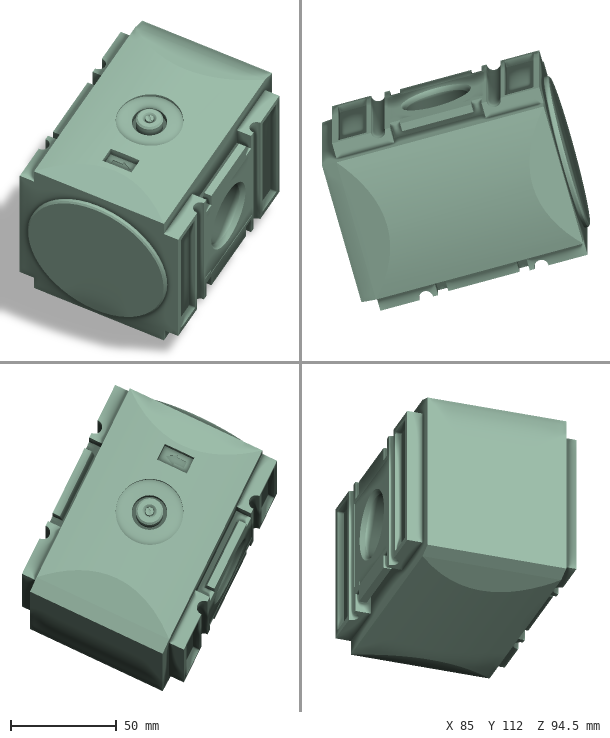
import cadquery as cq

body_length = 101.8
half_length = body_length / 2
core_width = 69.7
side_height = 84.7
half_side = side_height / 2
crown_half_height = 46.6
end_slope_run = 15.1
tail_length = 7.2
tail_drop = 2.5

overall_width = 85.0
pad_height = 69.9
pad_depth = (overall_width - core_width) / 2
relief_half_width = 22.5
relief_half_height = 25.8
tab_width = 35.0
tab_half_height = 32.5
tab_tip_thickness = 3.8
tab_root_thickness = 5.3

groove_radius = 3.4
groove_spacing = 56.8
groove_inset = 0.2
label_width = 14.1
label_height = 64.1
label_depth = 3.2
label_spacing = 81.9
label_corner = 0.8

port_diameter = 30.2
port_mouth_diameter = 34.5
port_chamfer = (port_mouth_diameter - port_diameter) / 2
port_depth = 17.4
seat_size = 47.3
seat_depth = 0.2
seat_key_width = 5.9
seat_key_height = 2.1

cap_diameter = 74.0
cap_thickness = 2.4
cap_chamfer = 0.8
neck_diameter = 60.0
overall_length = 112.0
neck_length = overall_length - body_length - tail_length - cap_thickness

recess_diameter = 32.0
recess_floor = 45.0
moat_diameter = 16.8
moat_depth = 3.4
stem_diameter = 13.0
stem_top = 47.9
stem_chamfer = 0.9
socket_mouth_diameter = 6.7
socket_diameter = 4.5
socket_depth = 3.4
socket_chamfer = (socket_mouth_diameter - socket_diameter) / 2
screw_diameter = 4.0
screw_height = 3.1
screw_slot_width = 0.9
screw_slot_depth = 0.6
screw_slot_angle = -45

window_length = 15.6
window_width = 8.4
window_y = -28.7
window_floor = 42.5
arrow_length = 10.1
arrow_head_length = 4.9
arrow_head_width = 5.6
arrow_shaft_width = 3.1
arrow_depth = 0.5


def cylinder(diameter, bottom, height):
    """Upright cylinder on the Z axis, starting at the height `bottom`."""
    return cq.Workplane("XY").workplane(offset=bottom).circle(diameter / 2).extrude(height)


def both_sides(feature):
    """The feature of the -X side together with its mirror image on the +X side."""
    return feature.union(feature.mirror("YZ"))


def make_core():
    half_width = core_width / 2
    arched = (
        cq.Workplane("XZ")
        .moveTo(-half_width, -half_side)
        .lineTo(-half_width, half_side)
        .threePointArc((0, crown_half_height), (half_width, half_side))
        .lineTo(half_width, -half_side)
        .threePointArc((0, -crown_half_height), (-half_width, -half_side))
        .close()
        .extrude(half_length + tail_length, both=True)
    )
    crown_end = half_length - end_slope_run
    tail_end = half_length + tail_length
    tail_half_height = half_side - tail_drop
    upper = [
        (-half_length, half_side),
        (-crown_end, crown_half_height),
        (crown_end, crown_half_height),
        (half_length, half_side),
        (tail_end, tail_half_height),
    ]
    lower = [(y, -z) for y, z in reversed(upper)]
    envelope = cq.Workplane("YZ").polyline(upper + lower).close().extrude(half_width, both=True)
    return arched.intersect(envelope)


def make_pads():
    """Full-width slab, relieved beside the tabs and behind their sloped backs."""
    slab = cq.Workplane("XY").box(overall_width, body_length, pad_height)
    relief_height = pad_height / 2 - relief_half_height
    outer_x = overall_width / 2
    tip_x = -outer_x + tab_tip_thickness
    root_x = -outer_x + tab_root_thickness
    relief = (
        cq.Workplane("XY")
        .box(pad_depth, 2 * relief_half_width, relief_height, centered=(False, True, False))
        .translate((-outer_x, 0, relief_half_height))
    )
    tab = (
        cq.Workplane("XZ")
        .polyline([
            (-outer_x, relief_half_height),
            (-outer_x, tab_half_height),
            (tip_x, tab_half_height),
            (root_x, relief_half_height),
        ])
        .close()
        .extrude(tab_width / 2, both=True)
    )
    relief = relief.cut(tab)
    relief = relief.union(relief.mirror("XY"))
    return slab.cut(both_sides(relief))


def make_grooves():
    groove_x = overall_width / 2 - groove_inset
    return (
        cq.Workplane("XY")
        .rect(2 * groove_x, groove_spacing, forConstruction=True)
        .vertices()
        .circle(groove_radius)
        .extrude(pad_height / 2, both=True)
    )


def make_label_pockets():
    pocket = cq.Workplane("XY").box(label_depth, label_width, label_height).edges("|X").fillet(label_corner)
    pocket_x = (overall_width - label_depth) / 2
    pair = pocket.translate((-pocket_x, label_spacing / 2, 0)).union(
        pocket.translate((-pocket_x, -label_spacing / 2, 0))
    )
    return both_sides(pair)


def make_port():
    """Blind port with a chamfered mouth and its keyed seat, on the -X side."""
    face_x = -overall_width / 2
    seat = cq.Workplane("XY").box(seat_depth, seat_size, seat_size)
    key_y = (seat_key_width - seat_size) / 2
    key_z = (seat_key_height - seat_size) / 2
    key = cq.Workplane("XY").box(seat_depth, seat_key_width, seat_key_height).translate((0, key_y, key_z))
    seat = seat.cut(key).translate((face_x + seat_depth / 2, 0, 0))
    seat_plane = cq.Workplane("YZ").workplane(offset=face_x + seat_depth)
    bore = seat_plane.circle(port_diameter / 2).extrude(port_depth)
    mouth = (
        seat_plane.circle(port_mouth_diameter / 2)
        .workplane(offset=port_chamfer)
        .circle(port_diameter / 2)
        .loft()
    )
    return seat.union(bore).union(mouth)


def make_cap():
    neck = cq.Workplane("XZ", origin=(0, -half_length, 0)).circle(neck_diameter / 2).extrude(neck_length)
    plate = (
        cq.Workplane("XZ", origin=(0, -half_length - neck_length, 0))
        .circle(cap_diameter / 2)
        .extrude(cap_thickness)
        .faces("<Y")
        .chamfer(cap_chamfer)
    )
    return neck.union(plate)


def make_stem():
    """Stem with a countersunk socket that holds a small slotted screw."""
    base = recess_floor - moat_depth
    stem_radius = stem_diameter / 2
    socket_radius = socket_diameter / 2
    socket_floor = stem_top - socket_depth
    stem = (
        cq.Workplane("XZ")
        .polyline([
            (0, base),
            (stem_radius, base),
            (stem_radius, stem_top - stem_chamfer),
            (stem_radius - stem_chamfer, stem_top),
            (socket_radius + socket_chamfer, stem_top),
            (socket_radius, stem_top - socket_chamfer),
            (socket_radius, socket_floor),
            (0, socket_floor),
        ])
        .close()
        .revolve(360, (0, 0, 0), (0, 1, 0))
    )
    slot = (
        cq.Workplane("XY")
        .box(screw_diameter, screw_slot_width, screw_slot_depth)
        .rotate((0, 0, 0), (0, 0, 1), screw_slot_angle)
        .translate((0, 0, socket_floor + screw_height - screw_slot_depth / 2))
    )
    screw = cylinder(screw_diameter, socket_floor, screw_height).cut(slot)
    return stem.union(screw)


def make_top_recess():
    recess = cylinder(recess_diameter, recess_floor, crown_half_height - recess_floor)
    moat = cylinder(moat_diameter, recess_floor - moat_depth, moat_depth)
    return recess.union(moat)


def make_window():
    depth = crown_half_height - window_floor
    return (
        cq.Workplane("XY")
        .box(window_length, window_width, depth, centered=(True, True, False))
        .translate((0, window_y, window_floor))
    )


def make_arrow():
    """Arrow sunk into the window floor, pointing along +X."""
    tip_x = arrow_length / 2
    neck_x = tip_x - arrow_head_length
    return (
        cq.Workplane("XY", origin=(0, window_y, window_floor))
        .polyline([
            (-tip_x, -arrow_shaft_width / 2),
            (neck_x, -arrow_shaft_width / 2),
            (neck_x, -arrow_head_width / 2),
            (tip_x, 0),
            (neck_x, arrow_head_width / 2),
            (neck_x, arrow_shaft_width / 2),
            (-tip_x, arrow_shaft_width / 2),
        ])
        .close()
        .extrude(-arrow_depth)
    )


body = make_core().union(make_pads())
body = body.cut(make_grooves()).cut(make_label_pockets()).cut(both_sides(make_port()))
body = body.cut(make_top_recess()).cut(make_window()).cut(make_arrow())
result = body.union(make_cap()).union(make_stem())